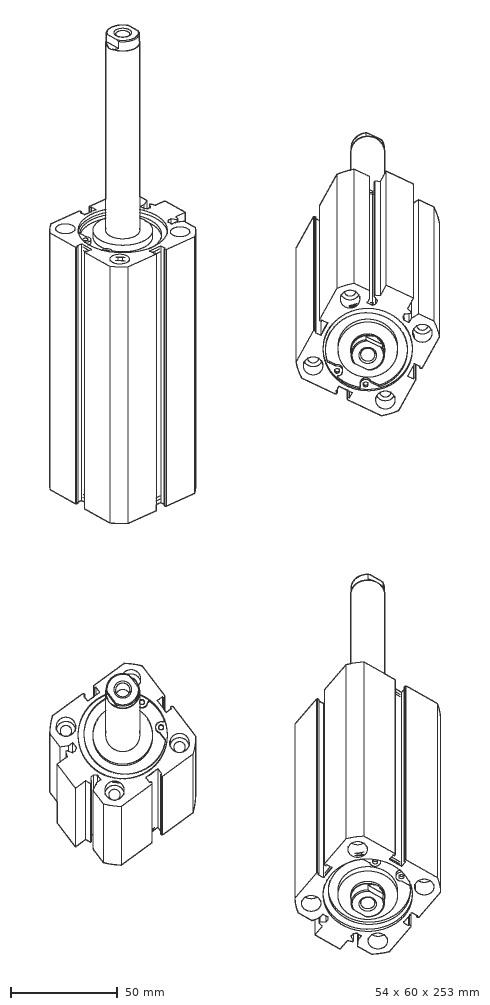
import cadquery as cq
import math


body_width = 54.0
half_width = body_width / 2
body_length = 139.0
mid_height = body_length / 2
corner_flat_end = 21.0
corner_radius = math.hypot(half_width, corner_flat_end)
bore_radius = 20.9

slot_throat = 5.5
slot_width = 7.0
slot_chamfer = 0.4
slot_lip = 1.2
slot_depth = 4.25

rail_top = 33.0
rail_half_width = 7.2
rail_flare = 9.6
lip_top = 26.1
lip_bottom = 25.4
neck_top = 24.0
neck_bottom = 22.3
groove_floor = 21.0
neck_foot = 8.2
groove_outer = 11.0
groove_wall_top = 23.4
groove_mouth = 12.9

mount_spacing = 38.0
mount_hole_diameter = 5.3
counterbore_diameter = 9.1
counterbore_depth = 10.0

ring_recess = 1.7
ring_thickness = 1.8
cover_recess = ring_recess + ring_thickness
cover_length = 15.0
collar_radius = 14.0
collar_height = 3.5
ring_inner_radius = 19.2
ring_inner_offset = 1.35
ear_edge = 14.8
ear_hole_x = 7.5
ear_hole_y = 16.8
ear_hole_diameter = 2.4
ring_gap = 11.8
ring_outer_radius = 22.1
ring_groove_radius = 22.45
ear_tip_radius = 2.6

rod_radius = 8.0
rod_end_radius = 7.8
rod_end_length = 5.4
rod_end_chamfer = 0.5
rod_overhang_top = 107.0
rod_overhang_bottom = 7.0
flat_spacing = 13.0
flat_length = 4.2
thread_bore_diameter = 6.6
thread_bore_depth = 16.0
thread_chamfer = 0.8
drill_half_angle = 59.0


def sensor_slot():
    """Slot cutter along the whole housing on the +X side, T-shaped with a chamfered mouth."""
    throat_x = half_width - slot_lip
    floor_x = half_width - slot_depth
    upper_edge = [
        (half_width, slot_throat / 2 + slot_chamfer),
        (half_width - slot_chamfer, slot_throat / 2),
        (throat_x, slot_throat / 2),
        (throat_x, slot_width / 2),
        (floor_x, slot_width / 2),
    ]
    lower_edge = [(x, -y) for x, y in reversed(upper_edge)]
    return cq.Workplane().polyline(upper_edge + lower_edge).close().extrude(body_length)


def make_housing():
    corner_mid = corner_radius / math.sqrt(2)
    rail_side = [
        (groove_mouth, half_width),
        (groove_outer, groove_wall_top),
        (groove_outer, groove_floor),
        (neck_foot, groove_floor),
        (rail_half_width, neck_bottom),
        (rail_half_width, neck_top),
        (rail_flare, lip_bottom),
        (rail_flare, lip_top),
        (rail_half_width, half_width),
        (rail_half_width, rail_top),
    ]
    half_outline = (
        cq.Workplane()
        .moveTo(0, -half_width)
        .lineTo(corner_flat_end, -half_width)
        .threePointArc((corner_mid, -corner_mid), (half_width, -corner_flat_end))
        .lineTo(half_width, corner_flat_end)
        .threePointArc((corner_mid, corner_mid), (corner_flat_end, half_width))
    )
    for point in rail_side:
        half_outline = half_outline.lineTo(*point)
    housing = half_outline.lineTo(0, rail_top).mirrorY().extrude(body_length)

    housing = housing.cut(cq.Workplane().circle(bore_radius).extrude(body_length))
    for groove_base in (ring_recess, body_length - cover_recess):
        groove_plane = cq.Workplane().workplane(offset=groove_base)
        housing = housing.cut(groove_plane.circle(ring_groove_radius).extrude(ring_thickness))
    for side_angle in (0, 180, 270):
        housing = housing.cut(sensor_slot().rotate((0, 0, 0), (0, 0, 1), side_angle))

    for end_face in (">Z", "<Z"):
        housing = (
            housing.faces(end_face)
            .workplane(origin=(0, 0, 0))
            .rect(mount_spacing, mount_spacing, forConstruction=True)
            .vertices()
            .cboreHole(mount_hole_diameter, counterbore_diameter, counterbore_depth)
        )
    return housing


def make_cover():
    """Rod guide at the top end, with a raised collar round the rod."""
    outer_face = body_length - cover_recess
    cover = cq.Workplane().workplane(offset=outer_face).circle(bore_radius).extrude(-cover_length)
    collar = cq.Workplane().workplane(offset=outer_face).circle(collar_radius).extrude(collar_height)
    rod_hole = cq.Workplane().circle(rod_radius).extrude(body_length)
    return cover.union(collar).cut(rod_hole)


def make_ring():
    """Retaining ring at the top end: an open ring with two pierced ears on the -Y side."""
    cutter_size = 2 * ring_outer_radius
    ear_holes = [(-ear_hole_x, -ear_hole_y), (ear_hole_x, -ear_hole_y)]
    disc = cq.Workplane().circle(ring_outer_radius).extrude(ring_thickness)
    opening = cq.Workplane().center(0, -ring_inner_offset).circle(ring_inner_radius).extrude(ring_thickness)
    ear_band = (
        cq.Workplane()
        .center(0, -ear_edge - cutter_size / 2)
        .rect(cutter_size, cutter_size)
        .extrude(ring_thickness)
    )
    gap = (
        cq.Workplane()
        .center(0, -cutter_size / 2)
        .rect(ring_gap, cutter_size)
        .extrude(ring_thickness)
    )
    ear_tips = cq.Workplane().pushPoints(ear_holes).circle(ear_tip_radius).extrude(ring_thickness)
    pierced = cq.Workplane().pushPoints(ear_holes).circle(ear_hole_diameter / 2).extrude(ring_thickness)
    ring = disc.cut(opening.cut(ear_band)).cut(gap).union(ear_tips).cut(pierced)
    return ring.translate((0, 0, body_length - cover_recess))


def rod_end_cut():
    """Cutter for one rod end: two wrench flats with sloped run-outs and a drilled thread hole.

    The end face lies on Z = 0 and the rod runs towards -Z.
    """
    flat_y = flat_spacing / 2
    run_out = rod_radius - flat_y
    flat_cut = (
        cq.Workplane("YZ")
        .moveTo(flat_y, 0)
        .lineTo(flat_y, -flat_length)
        .lineTo(rod_radius, -flat_length - run_out)
        .lineTo(rod_radius, 0)
        .close()
        .extrude(rod_radius, both=True)
    )
    drill_radius = thread_bore_diameter / 2
    drill_tip = drill_radius / math.tan(math.radians(drill_half_angle))
    drilling = (
        cq.Workplane("XZ")
        .moveTo(0, 0)
        .lineTo(drill_radius + thread_chamfer, 0)
        .lineTo(drill_radius, -thread_chamfer)
        .lineTo(drill_radius, -thread_bore_depth)
        .lineTo(0, -thread_bore_depth - drill_tip)
        .close()
        .revolve(360, (0, 0, 0), (0, 1, 0))
    )
    return flat_cut.union(flat_cut.mirror("XZ")).union(drilling)


def make_rod():
    rod_length = rod_overhang_bottom + body_length + rod_overhang_top
    rod = (
        cq.Workplane()
        .circle(rod_end_radius)
        .extrude(rod_length)
        .edges()
        .chamfer(rod_end_chamfer)
        .union(
            cq.Workplane()
            .workplane(offset=rod_end_length)
            .circle(rod_radius)
            .extrude(rod_length - 2 * rod_end_length)
        )
    )
    bottom_cut = rod_end_cut().mirror("XY")
    top_cut = rod_end_cut().translate((0, 0, rod_length))
    return rod.cut(bottom_cut).cut(top_cut).translate((0, 0, -rod_overhang_bottom))


def at_both_ends(top_part):
    return [top_part, top_part.mirror("XY", (0, 0, mid_height))]


housing = make_housing()
rod = make_rod()
covers = at_both_ends(make_cover())
rings = at_both_ends(make_ring())

result = cq.Compound.makeCompound(
    [housing.val(), rod.val()] + [part.val() for part in covers + rings]
)